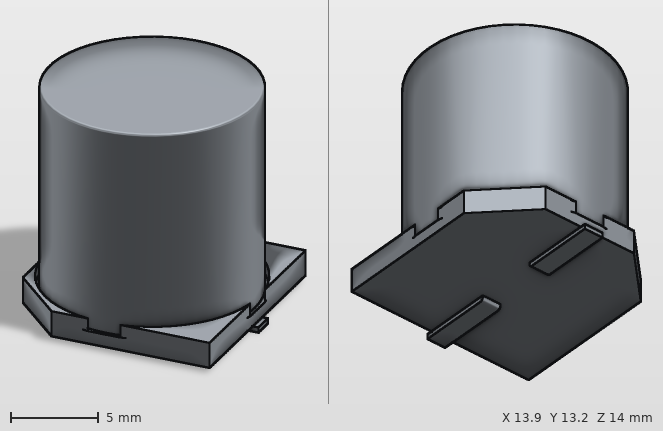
import cadquery as cq

TOTAL_HEIGHT = 14.0
LEAD_SPAN = 13.9

LEAD_THICKNESS = 0.34
LEAD_WIDTH = 1.32
LEAD_INNER_GAP = 4.12
LEAD_ROUND = 0.25

BASE_SIDE = 13.2
BASE_THICKNESS = 1.6
BASE_CORNER_CUT = 3.3
RECESS_DEPTH = 0.8
RECESS_DIAMETER = 13.35

CAN_DIAMETER = 12.9
CAN_TOP_ROUND = 0.15
CAN_BOTTOM_ROUND = 0.1

BASE_BOTTOM = LEAD_THICKNESS
BASE_TOP = BASE_BOTTOM + BASE_THICKNESS
RECESS_FLOOR = BASE_TOP - RECESS_DEPTH


def make_base():
    """Square plate with two cut corners on -X and a round recess for the can."""
    plate = (
        cq.Workplane("XY", origin=(0, 0, BASE_BOTTOM))
        .rect(BASE_SIDE, BASE_SIDE)
        .extrude(BASE_THICKNESS)
        .edges("|Z and <X")
        .chamfer(BASE_CORNER_CUT)
    )
    recess = (
        cq.Workplane("XY", origin=(0, 0, RECESS_FLOOR))
        .circle(RECESS_DIAMETER / 2)
        .extrude(RECESS_DEPTH)
    )
    return plate.cut(recess)


def make_can():
    """Cylinder standing on the recess floor, with both rims rounded."""
    return (
        cq.Workplane("XY", origin=(0, 0, RECESS_FLOOR))
        .circle(CAN_DIAMETER / 2)
        .extrude(TOTAL_HEIGHT - RECESS_FLOOR)
        .faces(">Z")
        .edges()
        .fillet(CAN_TOP_ROUND)
        .faces("<Z")
        .edges()
        .fillet(CAN_BOTTOM_ROUND)
    )


def make_lead(angle):
    """Flat lead under the base, made on the +X side and turned about Z."""
    lead_length = (LEAD_SPAN - LEAD_INNER_GAP) / 2
    return (
        cq.Workplane("XY", origin=(LEAD_INNER_GAP / 2, 0, 0))
        .box(lead_length, LEAD_WIDTH, LEAD_THICKNESS, centered=(False, True, False))
        .edges("<X and <Z")
        .fillet(LEAD_ROUND)
        .rotate((0, 0, 0), (0, 0, 1), angle)
    )


base = make_base()
can = make_can()
leads = [make_lead(angle) for angle in (0, 180)]

result = cq.Compound.makeCompound([base.val(), can.val(), *[lead.val() for lead in leads]])